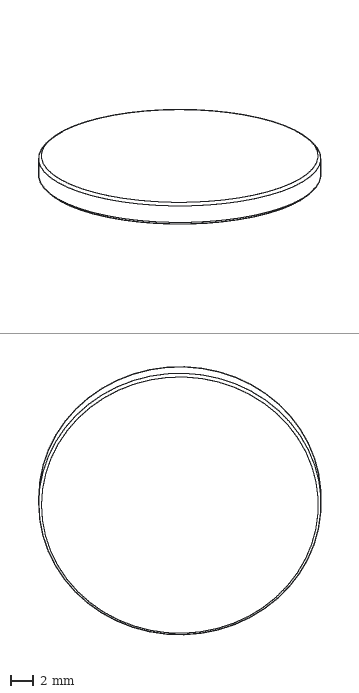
import cadquery as cq

lens_diameter = 25.4
center_thickness = 3.0
dome_height = 0.91
bevel = 0.25

lens_radius = lens_diameter / 2
face_radius = lens_radius - bevel
rim_height = center_thickness - dome_height

sphere_radius = (face_radius**2 + dome_height**2) / (2 * dome_height)

arc_mid_radius = face_radius / 2
arc_mid_height = center_thickness - sphere_radius + (sphere_radius**2 - arc_mid_radius**2) ** 0.5

half_section = (
    cq.Workplane("XZ")
    .moveTo(0, 0)
    .lineTo(face_radius, 0)
    .lineTo(lens_radius, bevel)
    .lineTo(lens_radius, rim_height - bevel)
    .lineTo(face_radius, rim_height)
    .threePointArc((arc_mid_radius, arc_mid_height), (0, center_thickness))
    .close()
)

result = half_section.revolve(360, (0, 0, 0), (0, 1, 0))